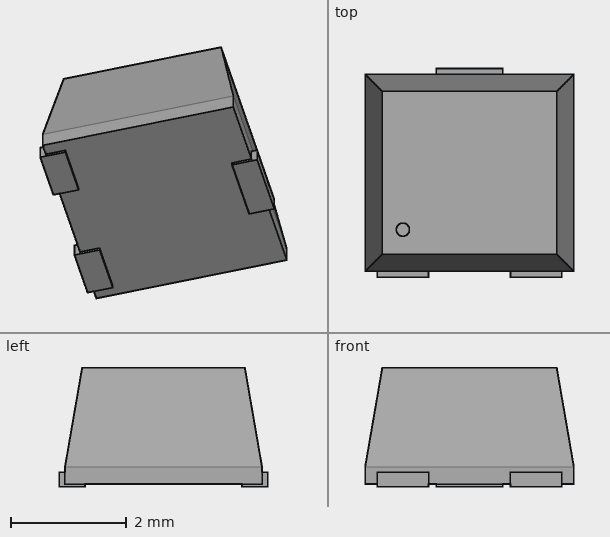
import cadquery as cq

body_width = 3.61
overall_depth = 3.61
overall_height = 2.06

wall_thickness = 0.1
foot_thickness = 0.05
terminal_height = 0.255
foot_length = 0.45
front_terminal_width = 0.888
front_terminal_offset = 1.15
rear_terminal_width = 1.155

body_depth = overall_depth - 2 * wall_thickness
base_height = 0.3
base_top = foot_thickness + base_height
top_inset = 0.295

mark_diameter = 0.227
mark_depth = 0.018
mark_x = -front_terminal_offset
mark_y = -0.982


def make_mark():
    return (
        cq.Workplane("XY", origin=(mark_x, mark_y, overall_height - mark_depth))
        .circle(mark_diameter / 2)
        .extrude(mark_depth)
    )


def make_housing(mark):
    base = (
        cq.Workplane("XY", origin=(0, 0, foot_thickness))
        .rect(body_width, body_depth)
        .extrude(base_height)
    )
    upper = (
        cq.Workplane("XY", origin=(0, 0, base_top))
        .rect(body_width, body_depth)
        .workplane(offset=overall_height - base_top)
        .rect(body_width - 2 * top_inset, body_depth - 2 * top_inset)
        .loft(ruled=True, combine=True)
    )
    return base.union(upper).cut(mark)


def make_terminal(center_x, width, side):
    """Make one terminal; side is -1 at the front (-Y) and +1 at the rear (+Y)."""
    outer_y = side * overall_depth / 2
    wall_inner_y = side * body_depth / 2
    foot_end_y = outer_y - side * foot_length
    profile = [
        (outer_y, 0),
        (outer_y, terminal_height),
        (wall_inner_y, terminal_height),
        (wall_inner_y, foot_thickness),
        (foot_end_y, foot_thickness),
        (foot_end_y, 0),
    ]
    return (
        cq.Workplane("YZ", origin=(center_x, 0, 0))
        .polyline(profile)
        .close()
        .extrude(width / 2, both=True)
    )


mark = make_mark()
housing = make_housing(mark)
front_terminals = [
    make_terminal(side_x * front_terminal_offset, front_terminal_width, -1)
    for side_x in (-1, 1)
]
rear_terminal = make_terminal(0, rear_terminal_width, 1)
terminals = front_terminals + [rear_terminal]

result = cq.Compound.makeCompound(
    [housing.val(), mark.val(), *[terminal.val() for terminal in terminals]]
)